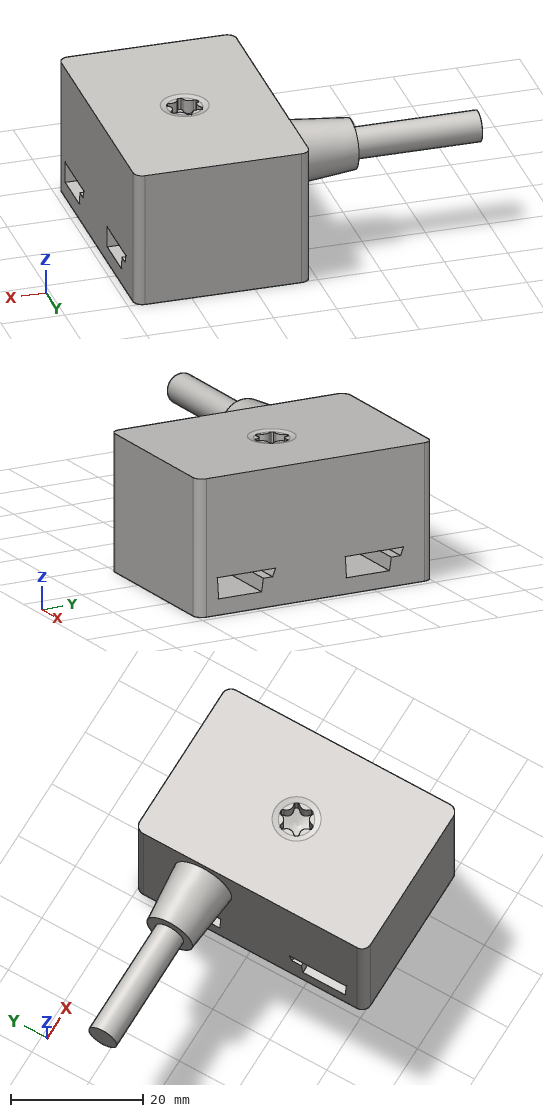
import cadquery as cq
import math

body_length = 27.7
body_width = 40.5
body_height = 22.0
corner_radius = 1.5

cable_y = 8.25
cable_z = body_height - 6.0
cable_diameter = 4.9
cable_reach = 30.0
relief_length = 10.0
relief_base_diameter = 10.0
relief_tip_diameter = 8.0

slot_count = 2
slot_pitch = 22.0
first_slot_y = 5.15
slot_bottom_z = 2.6
slot_step_z = 4.7
slot_top_z = 6.0
slot_top_width = 10.0
slot_step_outer_width = 9.5
slot_step_inner_width = 7.9
slot_bottom_width = 7.6
slot_wall_draft = 0.2

screw_diameter = 7.4
dish_floor_diameter = 5.5
dish_depth = 0.2
lobe_count = 6
lobe_radius = 0.45
socket_outer_radius = 2.8
socket_inner_radius = 1.95
socket_depth = 1.9
socket_point_depth = 1.0

left_face_x = -body_length / 2


def make_body():
    block = cq.Workplane("XY").box(body_length, body_width, body_height, centered=(True, True, False))
    return block.edges("|Z").fillet(corner_radius)


def make_cable():
    """Round cable inside a tapered strain relief, both pointing along -X."""
    axis_start = cq.Vector(left_face_x, cable_y, cable_z)
    outward = cq.Vector(-1, 0, 0)
    relief = cq.Solid.makeCone(
        relief_base_diameter / 2, relief_tip_diameter / 2, relief_length, axis_start, outward
    )
    cable = cq.Solid.makeCylinder(cable_diameter / 2, cable_reach, axis_start, outward)
    return cq.Workplane(obj=relief).union(cq.Workplane(obj=cable))


def make_slot(near_y):
    """Stepped slot whose top corner on the -Y side lies at near_y."""
    profile = [
        (near_y, slot_top_z),
        (near_y + slot_top_width, slot_top_z),
        (near_y + slot_step_outer_width, slot_step_z),
        (near_y + slot_step_inner_width, slot_step_z),
        (near_y + slot_bottom_width, slot_bottom_z),
        (near_y + slot_wall_draft, slot_bottom_z),
    ]
    return cq.Workplane("YZ").polyline(profile).close().extrude(body_length, both=True)


def polar(radius, angle):
    return (radius * math.cos(angle), radius * math.sin(angle))


def lobed_outline(plane):
    """Six rounded lobes joined by tangent arcs that bulge towards the centre."""
    half_pitch = math.pi / lobe_count
    lobe_centre = socket_outer_radius - lobe_radius
    lobe_run = lobe_centre * math.cos(half_pitch)
    gap_squared = lobe_centre**2 + socket_inner_radius**2 - 2 * lobe_run * socket_inner_radius
    valley_radius = (gap_squared - lobe_radius**2) / (2 * (lobe_radius + lobe_run - socket_inner_radius))
    valley_centre = socket_inner_radius + valley_radius

    share = lobe_radius / (lobe_radius + valley_radius)
    valley_x, valley_y = polar(valley_centre, half_pitch)
    joint_x = lobe_centre + share * (valley_x - lobe_centre)
    joint_y = share * valley_y
    joint_radius = math.hypot(joint_x, joint_y)
    joint_angle = math.atan2(joint_y, joint_x)

    first_lobe = math.pi / 2
    outline = plane.moveTo(*polar(joint_radius, first_lobe - joint_angle))
    for index in range(lobe_count):
        lobe = first_lobe + 2 * half_pitch * index
        next_lobe = lobe + 2 * half_pitch
        outline = outline.threePointArc(
            polar(socket_outer_radius, lobe), polar(joint_radius, lobe + joint_angle)
        )
        outline = outline.threePointArc(
            polar(socket_inner_radius, lobe + half_pitch), polar(joint_radius, next_lobe - joint_angle)
        )
    return outline.close()


def make_screw_recess():
    """Dished rim above a lobed socket whose floor is a shallow cone."""
    down = cq.Vector(0, 0, -1)
    dish_floor_z = body_height - dish_depth
    dish = cq.Solid.makeCone(
        screw_diameter / 2, dish_floor_diameter / 2, dish_depth, cq.Vector(0, 0, body_height), down
    )
    pointed_bore_profile = [
        (0, dish_floor_z),
        (dish_floor_diameter / 2, dish_floor_z),
        (dish_floor_diameter / 2, dish_floor_z - socket_depth),
        (0, dish_floor_z - socket_depth - socket_point_depth),
    ]
    pointed_bore = cq.Workplane("XZ").polyline(pointed_bore_profile).close().revolve(360, (0, 0), (0, 1))
    lobed_plane = cq.Workplane("XY").workplane(offset=dish_floor_z)
    lobed_prism = lobed_outline(lobed_plane).extrude(-(socket_depth + socket_point_depth))
    return pointed_bore.intersect(lobed_prism).union(cq.Workplane(obj=dish))


result = make_body().union(make_cable())
for slot_index in range(slot_count):
    result = result.cut(make_slot(first_slot_y - slot_index * slot_pitch))
result = result.cut(make_screw_recess())